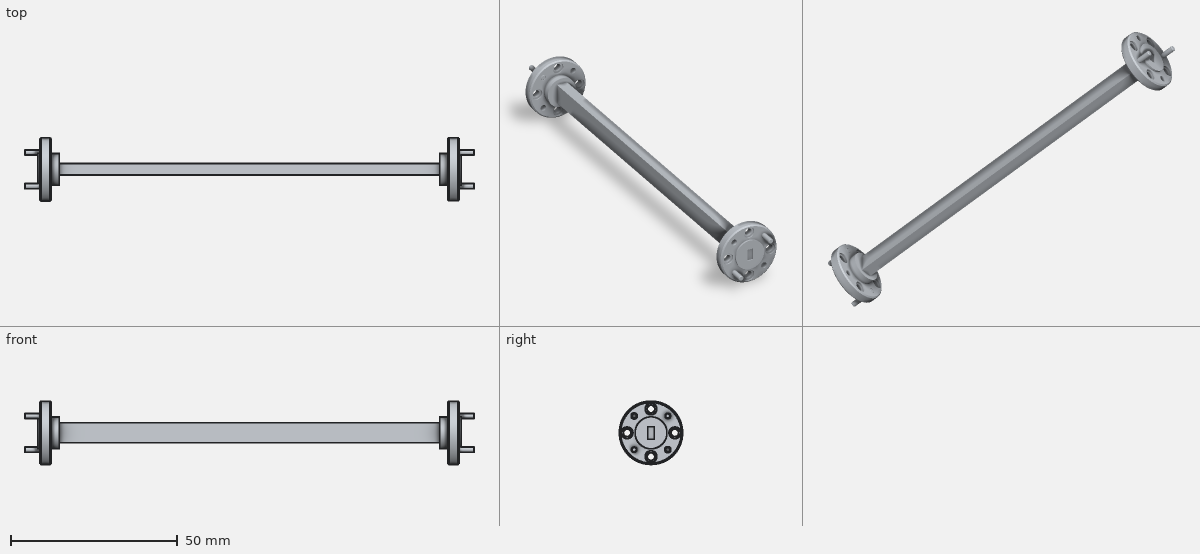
import cadquery as cq
import math

overall_length = 134.8

pin_diameter = 1.6
pin_projection = 4.6
pin_circle_radius = 7.1
pin_end_chamfer = 0.16

flange_diameter = 19.0
flange_thickness = 3.4
flange_chamfer = 0.4
boss_diameter = 9.5
boss_height = 0.7
hub_length = 2.4

screw_circle_radius = 7.1
screw_hole_diameter = 2.3
counterbore_diameter = 3.5
counterbore_depth = 0.5

alignment_hole_diameter = 1.9

tube_width = 3.5
tube_height = 6.0
aperture_width = 1.9
aperture_height = 3.8
aperture_depth = 0.5

face_x = overall_length / 2 - pin_projection
flange_back_x = face_x - flange_thickness
hub_end_x = flange_back_x - hub_length
boss_face_x = face_x + boss_height

screw_angles = (0, 90, 180, 270)
pin_angles = (45, 225)
alignment_angles = (135, 315)


def rod(start_x, end_x, diameter, radius=0, angle=0):
    """Cylinder along X between two stations, offset from the axis in polar form."""
    y = radius * math.cos(math.radians(angle))
    z = radius * math.sin(math.radians(angle))
    return (
        cq.Workplane("YZ", origin=(start_x, 0, 0))
        .center(y, z)
        .circle(diameter / 2)
        .extrude(end_x - start_x)
    )


def screw_hole(angle):
    """Cutter for a through hole with a shallow counterbore on both flange faces."""
    hole = rod(flange_back_x, face_x, screw_hole_diameter, screw_circle_radius, angle)
    for start_x in (flange_back_x, face_x - counterbore_depth):
        end_x = start_x + counterbore_depth
        hole = hole.union(rod(start_x, end_x, counterbore_diameter, screw_circle_radius, angle))
    return hole


def make_flange():
    """Flange at the +X end, with its contact boss, hub and all holes."""
    flange = rod(flange_back_x, face_x, flange_diameter).edges().chamfer(flange_chamfer)
    flange = flange.union(rod(hub_end_x, boss_face_x, boss_diameter))
    for angle in screw_angles:
        flange = flange.cut(screw_hole(angle))
    for angle in alignment_angles:
        flange = flange.cut(
            rod(flange_back_x, face_x, alignment_hole_diameter, pin_circle_radius, angle)
        )
    for angle in pin_angles:
        flange = flange.cut(rod(flange_back_x, face_x, pin_diameter, pin_circle_radius, angle))
    aperture = (
        cq.Workplane("YZ", origin=(boss_face_x, 0, 0))
        .rect(aperture_width, aperture_height)
        .extrude(-aperture_depth)
    )
    return flange.cut(aperture)


def turn_to_other_end(body):
    """Half turn about Z, which carries a +X end body to the -X end."""
    return body.rotate((0, 0, 0), (0, 0, 1), 180)


def make_waveguide():
    """Straight tube with a flange at each end, in one piece."""
    tube = cq.Workplane("XY").box(2 * hub_end_x, tube_width, tube_height)
    flange = make_flange()
    return tube.union(flange).union(turn_to_other_end(flange))


def make_pins():
    """Dowel pins of both flanges, flush with the back of the flange."""
    pins = []
    for angle in pin_angles:
        pin = rod(flange_back_x, overall_length / 2, pin_diameter, pin_circle_radius, angle)
        pin = pin.edges("%CIRCLE").chamfer(pin_end_chamfer)
        pins.append(pin.val())
        pins.append(turn_to_other_end(pin).val())
    return pins


waveguide = make_waveguide()
pins = make_pins()
result = cq.Compound.makeCompound([waveguide.val(), *pins])